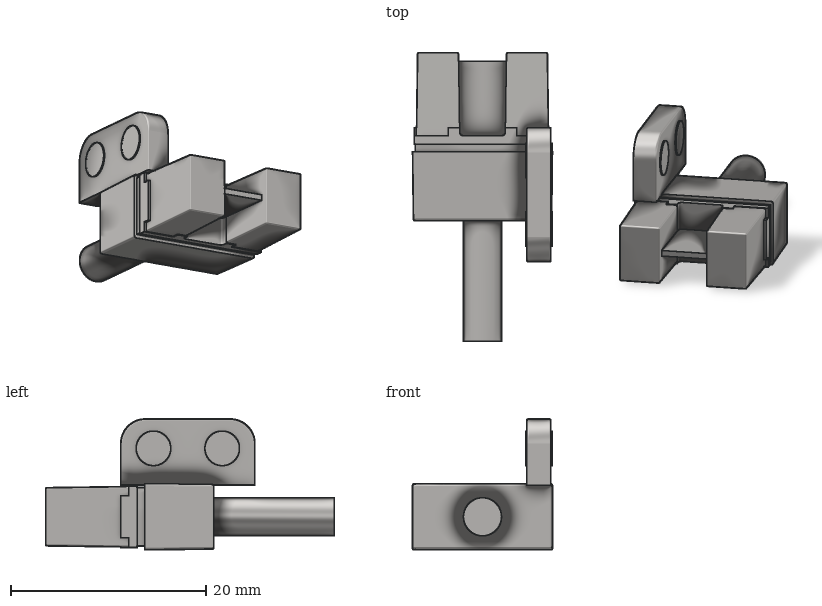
import cadquery as cq


body_width = 14.35
body_height = 6.8
body_length = 7.1
body_draft = 0.1
body_edge_radius = 0.25

shaft_radius = 1.95
shaft_length = 12.33

neck_width = 13.8
neck_height = 6.03
neck_length = 0.77
flange_width = 14.0
flange_height = 6.33
flange_length = 0.85
flange_start = body_length + neck_length
flange_end = flange_start + flange_length

prong_end = 17.23
prong_outer = 6.77
prong_inner = 2.35
prong_height = 6.2
prong_taper = 0.12
prong_edge_radius = 0.18
gap_corner_radius = 0.38
pick_margin = 0.03

tab_end = 9.55
top_tab_outer = 3.5
side_tab_height = 4.25

tongue_end = 16.35
tongue_thickness = 0.6

plate_left = 4.52
plate_right = 7.0
plate_front = -4.2
plate_top = 10.02
plate_corner_radius = 2.55
plate_edge_radius = 0.2
plate_bottom = 3.25
plate_middle = (plate_front + tab_end) / 2
pin_radius = 1.77
pin_spacing = 7.05
pin_height = 7.0
pin_protrusion = 0.12


def box_between(x_range, y_range, z_range):
    """Box given by its two limits along each axis."""
    limits = (x_range, y_range, z_range)
    sizes = [high - low for low, high in limits]
    corner = tuple(low for low, high in limits)
    return cq.Workplane("XY").box(*sizes, centered=False).translate(corner)


def centred_box(width, height, start, end):
    """Box centred on the shaft axis between two Y positions."""
    return box_between((-width / 2, width / 2), (start, end), (-height / 2, height / 2))


def tapered_block(x_centre, width, height, start, length, shrink):
    """Block along +Y (or -Y for a negative length) whose far end is smaller by shrink on each side."""
    return (
        cq.Workplane("XZ", origin=(x_centre, start, 0))
        .rect(width, height)
        .workplane(offset=-length)
        .rect(width - 2 * shrink, height - 2 * shrink)
        .loft(ruled=True)
    )


def make_body():
    block = tapered_block(0, body_width, body_height, body_length, -body_length, body_draft)
    return block.edges("not >Y").fillet(body_edge_radius)


def make_shaft():
    embed = body_length / 2
    return cq.Workplane("XZ", origin=(0, embed, 0)).circle(shaft_radius).extrude(shaft_length + embed)


def make_prong(side):
    centre = side * (prong_inner + prong_outer) / 2
    prong = tapered_block(
        centre, prong_outer - prong_inner, prong_height, flange_end, prong_end - flange_end, prong_taper
    )
    return prong.edges("not <Y").fillet(prong_edge_radius)


def make_tabs(side):
    def mirrored(inner, outer):
        return sorted((side * inner, side * outer))

    lengthwise = (flange_start, tab_end)
    top_and_bottom = box_between(
        mirrored(prong_inner, top_tab_outer),
        lengthwise,
        (-flange_height / 2, flange_height / 2),
    )
    outer_side = box_between(
        mirrored(top_tab_outer, flange_width / 2),
        lengthwise,
        (-side_tab_height / 2, side_tab_height / 2),
    )
    return top_and_bottom.union(outer_side)


def make_connector():
    connector = centred_box(neck_width, neck_height, body_length, flange_start)
    connector = connector.union(centred_box(flange_width, flange_height, flange_start, flange_end))
    for side in (-1, 1):
        connector = connector.union(make_prong(side)).union(make_tabs(side))
    at_gap_corners = cq.selectors.BoxSelector(
        (-prong_inner - pick_margin, flange_end - pick_margin, -flange_height),
        (prong_inner + pick_margin, flange_end + pick_margin, flange_height),
    )
    connector = connector.edges("|Z").edges(at_gap_corners).fillet(gap_corner_radius)
    tongue = centred_box(2 * (prong_inner + prong_taper), tongue_thickness, flange_start, tongue_end)
    return connector.union(tongue)


def make_plate():
    plate = box_between((plate_left, plate_right), (plate_front, tab_end), (plate_bottom, plate_top))
    plate = plate.edges("|X and >Z").fillet(plate_corner_radius)
    plate = plate.faces("<X or >X").edges("not <Z").fillet(plate_edge_radius)
    for side in (-1, 1):
        pin_start = (plate_left - pin_protrusion, plate_middle + side * pin_spacing / 2, pin_height)
        pin = (
            cq.Workplane("YZ", origin=pin_start)
            .circle(pin_radius)
            .extrude(plate_right - plate_left + 2 * pin_protrusion)
        )
        plate = plate.union(pin)
    return plate


result = make_body().union(make_shaft()).union(make_connector()).union(make_plate())